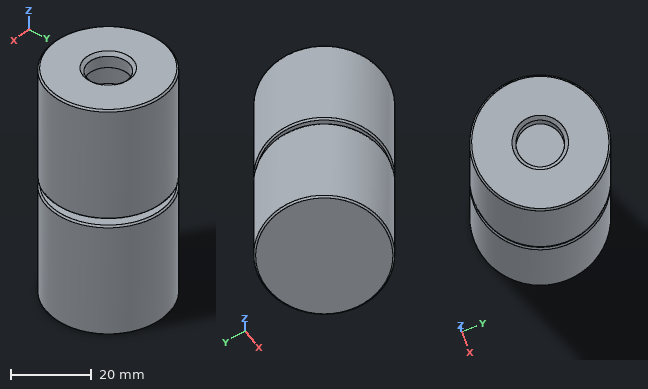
import cadquery as cq

total_height = 70.0
outer_radius = 17.5
edge_chamfer = 0.5

gap = 2.0
half_height = (total_height - gap) / 2
upper_base = total_height - half_height

pin_radius = 12.0
pin_top = 56.0

roof_thickness = 4.5
hole_radius = 6.0
hole_chamfer = 1.0


def half_barrel(base_height):
    """Plain half cylinder with both rims chamfered."""
    barrel = cq.Workplane("XY").workplane(offset=base_height).circle(outer_radius).extrude(half_height)
    return barrel.faces("<Z or >Z").edges().chamfer(edge_chamfer)


def make_lower_half():
    """Solid barrel carrying the pin that stands up through the gap."""
    pin_length = pin_top - half_height
    pin = cq.Workplane("XY").workplane(offset=half_height).circle(pin_radius).extrude(pin_length)
    return half_barrel(0).union(pin)


def make_upper_half():
    """Barrel bored from below for the pin, with a countersunk hole through its roof."""
    bore_depth = half_height - roof_thickness
    bore = cq.Workplane("XY").workplane(offset=upper_base).circle(pin_radius).extrude(bore_depth)

    roof_underside = upper_base + bore_depth
    hole = cq.Workplane("XY").workplane(offset=roof_underside).circle(hole_radius).extrude(roof_thickness)

    countersink = (
        cq.Workplane("XY")
        .workplane(offset=total_height - hole_chamfer)
        .circle(hole_radius)
        .workplane(offset=hole_chamfer)
        .circle(hole_radius + hole_chamfer)
        .loft()
    )
    return half_barrel(upper_base).cut(bore).cut(hole).cut(countersink)


lower_half = make_lower_half()
upper_half = make_upper_half()

result = cq.Compound.makeCompound([lower_half.solids().val(), upper_half.solids().val()])